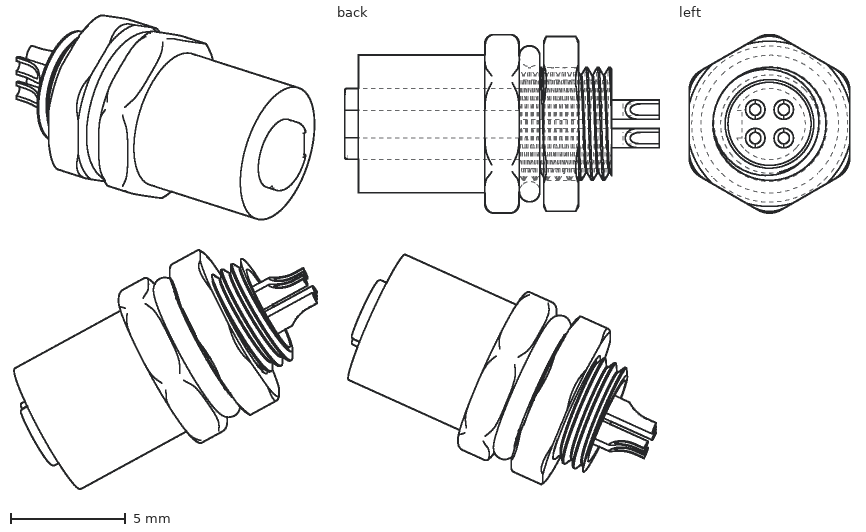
import cadquery as cq
import math


housing_rear = 2.08
flange_rear = 6.1
flange_front = 7.6
housing_front = 13.1
carrier_front = 13.7

across_flats = 7.0
hex_circumscribed = across_flats / math.cos(math.radians(30))

sleeve_radius = 3.0
flange_corner_radius = 1.0
flange_rim_radius = 0.4

thread_radius = 2.46
thread_pitch = 0.5
thread_depth = 0.32
thread_flank_half_angle = 30
thread_root_width = 0.06
groove_start = 1.67
groove_length = flange_rear - groove_start + thread_pitch

nut_rear = 3.52
nut_thickness = 1.52
nut_corner_radius = 1.5
nut_face_radius = 3.6
nut_chamfer_angle = 30

ring_section_radius = 0.45
ring_inner_radius = 2.5

rear_insert_radius = 1.93
rear_insert_recess = 0.6
rear_insert_chamfer = 0.12

carrier_radius = 1.55
carrier_rim_radius = 0.12
key_width = 1.2
key_floor = 1.2

contact_radius = 0.425
contact_offset = 0.62
cup_radius = 0.25
cup_depth = 1.6
scoop_start = 0.45
scoop_radius = 1.47


def cylinder(radius, x_start, x_end):
    """Solid cylinder on the X axis."""
    return cq.Workplane("YZ", origin=(x_start, 0, 0)).circle(radius).extrude(x_end - x_start)


def rounded_hex(x_start, thickness, corner_radius):
    """Hexagonal plate across X with two flats facing +Y and -Y and its six corners rounded."""
    return (
        cq.Workplane("YZ", origin=(x_start, 0, 0))
        .transformed(rotate=(0, 0, 90))
        .polygon(6, hex_circumscribed)
        .extrude(thickness)
        .edges("|X")
        .fillet(corner_radius)
    )


def rounded_hex_corner(corner_radius):
    """Distance from the axis to the tip of a rounded hexagon corner."""
    return hex_circumscribed / 2 - corner_radius * (1 / math.cos(math.radians(30)) - 1)


def thread_groove():
    """Right-handed V groove around the X axis, with a narrow flat at its root."""
    overcut = 0.04
    root_radius = thread_radius - thread_depth
    mouth_radius = thread_radius + overcut
    root_half = thread_root_width / 2
    flank_run = (thread_depth + overcut) * math.tan(math.radians(thread_flank_half_angle))
    mouth_half = root_half + flank_run
    helix = cq.Wire.makeHelix(thread_pitch, groove_length, root_radius)
    return (
        cq.Workplane("ZX")
        .moveTo(root_half, root_radius)
        .lineTo(mouth_half, mouth_radius)
        .lineTo(-mouth_half, mouth_radius)
        .lineTo(-root_half, root_radius)
        .close()
        .sweep(cq.Workplane(helix), isFrenet=True)
        .rotate((0, 0, 0), (0, 1, 0), 90)
        .translate((groove_start, 0, 0))
    )


def make_housing():
    """Threaded shank, hexagonal flange and front sleeve, bored for the two inserts."""
    shank_blank = cylinder(thread_radius, housing_rear, flange_rear).rotate((0, 0, 0), (1, 0, 0), 90)
    shank = shank_blank.cut(thread_groove())
    flange_rim = (
        cylinder(rounded_hex_corner(flange_corner_radius), flange_rear, flange_front)
        .edges("%CIRCLE")
        .fillet(flange_rim_radius)
    )
    flange = rounded_hex(flange_rear, flange_front - flange_rear, flange_corner_radius).intersect(flange_rim)
    sleeve = cylinder(sleeve_radius, flange_front, housing_front)
    rear_bore = cylinder(rear_insert_radius, housing_rear, flange_rear)
    front_bore = cylinder(carrier_radius, flange_rear, housing_front).cut(key_slot())
    return shank.union(flange).union(sleeve).cut(rear_bore).cut(front_bore)


def make_nut():
    """Hexagonal nut with both faces chamfered by a cone."""
    corner = rounded_hex_corner(nut_corner_radius)
    chamfer_depth = (corner - nut_face_radius) * math.tan(math.radians(nut_chamfer_angle))
    nut_front = nut_rear + nut_thickness
    chamfered_blank = (
        cq.Workplane("XY")
        .moveTo(nut_rear, 0)
        .lineTo(nut_rear, nut_face_radius)
        .lineTo(nut_rear + chamfer_depth, corner)
        .lineTo(nut_front - chamfer_depth, corner)
        .lineTo(nut_front, nut_face_radius)
        .lineTo(nut_front, 0)
        .close()
        .revolve(360, (0, 0, 0), (1, 0, 0))
    )
    bore = cylinder(thread_radius, nut_rear, nut_front)
    return rounded_hex(nut_rear, nut_thickness, nut_corner_radius).intersect(chamfered_blank).cut(bore)


def make_ring():
    """O-ring lying against the rear face of the flange."""
    centre_radius = ring_inner_radius + ring_section_radius
    return (
        cq.Workplane("XY")
        .moveTo(flange_rear - ring_section_radius, centre_radius)
        .circle(ring_section_radius)
        .revolve(360, (0, 0, 0), (1, 0, 0))
    )


def contact_centres():
    """Y, Z centres of the four contacts."""
    return [(y, z) for y in (-contact_offset, contact_offset) for z in (-contact_offset, contact_offset)]


def make_rear_insert():
    """Plug in the threaded end, set back from the housing face, with a hole for each contact."""
    insert_rear = housing_rear + rear_insert_recess
    plug = cylinder(rear_insert_radius, insert_rear, flange_rear).faces("<X").chamfer(rear_insert_chamfer)
    for y, z in contact_centres():
        plug = plug.cut(cylinder(contact_radius, insert_rear, flange_rear).translate((0, y, z)))
    return plug


def key_slot():
    """Block that forms the keyway along the +Y side of the carrier."""
    return (
        cq.Workplane("XY")
        .box(carrier_front - flange_rear, carrier_radius, key_width, centered=(False, False, True))
        .translate((flange_rear, key_floor, 0))
    )


def make_carrier():
    """Contact carrier that stands out of the front sleeve."""
    carrier = cylinder(carrier_radius, flange_rear, carrier_front)
    return carrier.faces(">X").edges().fillet(carrier_rim_radius).cut(key_slot())


def make_contact(y, z):
    """Contact with a solder cup whose outward half, away from the XZ plane, is scooped away."""
    scoop_angle = math.radians(60)
    arc_mid = scoop_angle / 2
    outward = math.copysign(1, y)

    def arc_point(angle):
        x = scoop_start + scoop_radius * math.sin(angle)
        return x, outward * scoop_radius * (1 - math.cos(angle))

    end_x, end_y = arc_point(scoop_angle)
    scoop = (
        cq.Workplane("XY")
        .lineTo(scoop_start, 0)
        .threePointArc(arc_point(arc_mid), (end_x, end_y))
        .lineTo(0, end_y)
        .close()
        .extrude(contact_radius, both=True)
    )
    contact = cylinder(contact_radius, 0, flange_rear).cut(cylinder(cup_radius, 0, cup_depth)).cut(scoop)
    return contact.translate((0, y, z))


housing = make_housing()
nut = make_nut()
ring = make_ring()
rear_insert = make_rear_insert()
carrier = make_carrier()
contacts = [make_contact(y, z) for y, z in contact_centres()]

result = cq.Compound.makeCompound(
    [housing.val(), nut.val(), ring.val(), rear_insert.val(), carrier.val()]
    + [contact.val() for contact in contacts]
)